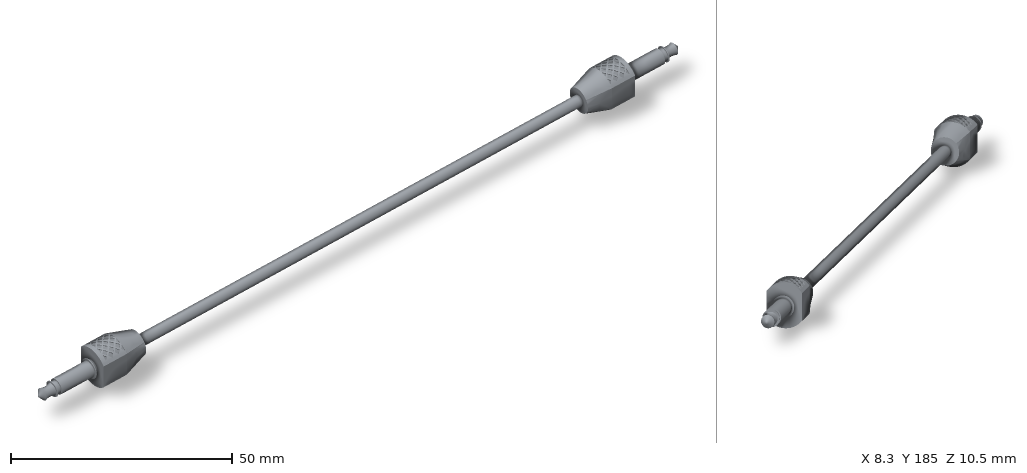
import cadquery as cq
import math

HALF_LENGTH = 92.5

CABLE_DIAMETER = 3.0

GRIP_DIAMETER = 10.5
GRIP_WIDTH = 8.3
GRIP_BACK_DIAMETER = 6.7
GRIP_BACK_Y = 63.8
TAPER_START_Y = 70.0
GRIP_FRONT_Y = 76.7

KNURL_START_Y = TAPER_START_Y
KNURL_LENGTH = 5.5
KNURL_ROWS = 3
KNURL_PITCH = KNURL_LENGTH / KNURL_ROWS
KNURL_COLUMN_ANGLE = 11.5
KNURL_SIDE_COLUMNS = 3
KNURL_DEPTH = 0.2
KNURL_RIDGE = 0.5

SLEEVE_RADIUS = 2.0
FLANGE_RADIUS = 2.5
FLANGE_Y = 77.5
FLANGE_THICKNESS = 0.2
SLEEVE_END_Y = 87.1
INSULATOR_RADIUS = 1.7
COLLAR_Y = 88.2
COLLAR_THICKNESS = 0.2
WAIST_RADIUS = 1.3
WAIST_Y = 89.5
HEAD_RADIUS = 1.57
HEAD_Y = 91.2


def flat_sided_outline(y):
    """Section of the grip at y: round top and bottom, flat left and right sides."""
    radius = GRIP_DIAMETER / 2
    side = GRIP_WIDTH / 2
    corner = math.sqrt(radius**2 - side**2)
    return (
        cq.Workplane("XZ", origin=(0, y, 0))
        .moveTo(side, -corner)
        .lineTo(side, corner)
        .threePointArc((0, radius), (-side, corner))
        .lineTo(-side, -corner)
        .threePointArc((0, -radius), (side, -corner))
        .close()
    )


def round_outline(y):
    """Circle at the cable end, split at the same angles as the corners of the flat-sided section."""
    radius = GRIP_BACK_DIAMETER / 2
    side = radius * GRIP_WIDTH / GRIP_DIAMETER
    corner = math.sqrt(radius**2 - side**2)
    return (
        cq.Workplane("XZ", origin=(0, y, 0))
        .moveTo(side, -corner)
        .threePointArc((radius, 0), (side, corner))
        .threePointArc((0, radius), (-side, corner))
        .threePointArc((-radius, 0), (-side, -corner))
        .threePointArc((0, -radius), (side, -corner))
        .close()
    )


def make_grip():
    body = flat_sided_outline(GRIP_FRONT_Y).extrude(GRIP_FRONT_Y - TAPER_START_Y)
    sections = [flat_sided_outline(TAPER_START_Y).wires().val(), round_outline(GRIP_BACK_Y).wires().val()]
    taper = cq.Workplane(cq.Solid.makeLoft(sections, True))
    return body.union(taper)


def knurl_column(column):
    """Cutters for one column of diamonds on the +Z side.

    Neighbouring columns are staggered by half a pitch, so odd columns end in half diamonds.
    """
    radius = GRIP_DIAMETER / 2
    column_spacing = radius * math.sin(math.radians(KNURL_COLUMN_ANGLE))
    half_width = column_spacing - KNURL_RIDGE / 2
    half_length = KNURL_PITCH / 2 * half_width / column_spacing
    is_staggered = column % 2 == 1
    count = KNURL_ROWS + 1 if is_staggered else KNURL_ROWS
    first_y = KNURL_START_Y if is_staggered else KNURL_START_Y + KNURL_PITCH / 2
    diamond = [(half_width, 0), (0, half_length), (-half_width, 0), (0, -half_length)]
    floor = radius * math.cos(math.radians(KNURL_COLUMN_ANGLE)) - KNURL_DEPTH
    cutters = cq.Workplane("XY", origin=(0, 0, floor))
    for row in range(count):
        centre_y = first_y + row * KNURL_PITCH
        cutters = cutters.polyline([(x, centre_y + y) for x, y in diamond]).close()
    band = cq.Workplane("XY").box(GRIP_DIAMETER, KNURL_LENGTH, 2 * GRIP_DIAMETER)
    band = band.translate((0, KNURL_START_Y + KNURL_LENGTH / 2, 0))
    cutters = cutters.extrude(radius).intersect(band)
    return cutters.rotate((0, 0, 0), (0, 1, 0), column * KNURL_COLUMN_ANGLE)


def cut_knurl(grip):
    for column in range(-KNURL_SIDE_COLUMNS, KNURL_SIDE_COLUMNS + 1):
        cutters = knurl_column(column)
        grip = grip.cut(cutters)
        grip = grip.cut(cutters.mirror("XY"))
    return grip


def make_pin():
    """Contact pin turned about the Y axis, from the front of the grip to the nose."""
    return (
        cq.Workplane("XY")
        .moveTo(0, GRIP_FRONT_Y)
        .lineTo(SLEEVE_RADIUS, GRIP_FRONT_Y)
        .lineTo(SLEEVE_RADIUS, FLANGE_Y)
        .lineTo(FLANGE_RADIUS, FLANGE_Y)
        .lineTo(FLANGE_RADIUS, FLANGE_Y + FLANGE_THICKNESS)
        .lineTo(SLEEVE_RADIUS, FLANGE_Y + FLANGE_THICKNESS)
        .lineTo(SLEEVE_RADIUS, SLEEVE_END_Y)
        .lineTo(INSULATOR_RADIUS, SLEEVE_END_Y)
        .lineTo(INSULATOR_RADIUS, COLLAR_Y)
        .lineTo(SLEEVE_RADIUS, COLLAR_Y)
        .lineTo(SLEEVE_RADIUS, COLLAR_Y + COLLAR_THICKNESS)
        .lineTo(HEAD_RADIUS, COLLAR_Y + COLLAR_THICKNESS)
        .threePointArc((WAIST_RADIUS, WAIST_Y), (HEAD_RADIUS, HEAD_Y))
        .lineTo(0, HALF_LENGTH)
        .close()
        .revolve(360, (0, 0, 0), (0, 1, 0))
    )


def make_plug():
    return cut_knurl(make_grip()).union(make_pin())


def make_cable():
    return cq.Workplane("XZ").circle(CABLE_DIAMETER / 2).extrude(GRIP_BACK_Y, both=True)


cable = make_cable()
plug = make_plug()
plugs = [plug.rotate((0, 0, 0), (0, 0, 1), angle) for angle in (0, 180)]

result = cq.Compound.makeCompound([cable.val(), *[body.val() for body in plugs]])